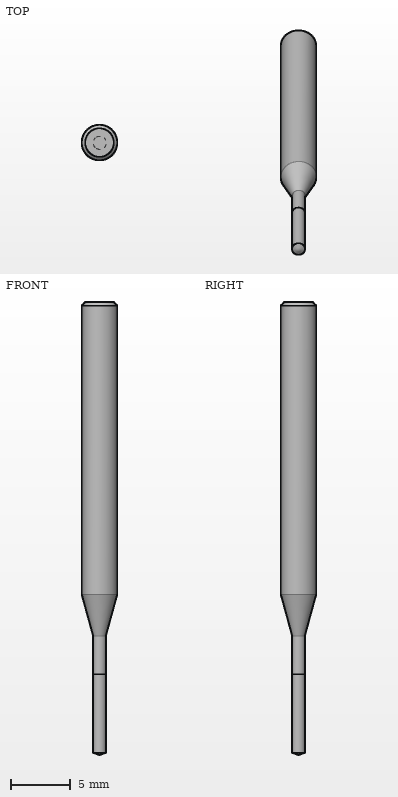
import cadquery as cq
import math

total_length = 38.0
shank_diameter = 3.0
tool_diameter = 1.1

cutter_top = 6.8
taper_bottom = 10.05
taper_top = 13.5

shank_chamfer = 0.3
tip_point_angle = 140.0

shank_radius = shank_diameter / 2
tool_radius = tool_diameter / 2
tip_height = tool_radius / math.tan(math.radians(tip_point_angle / 2))


def revolve_profile(points):
    """Turn a closed (radius, height) outline about the Z axis."""
    return cq.Workplane("XZ").polyline(points).close().revolve(360, (0, 0, 0), (0, 1, 0))


def make_shank():
    """Chamfered cylindrical shank tapering down to a slim neck."""
    return revolve_profile([
        (0, cutter_top),
        (tool_radius, cutter_top),
        (tool_radius, taper_bottom),
        (shank_radius, taper_top),
        (shank_radius, total_length - shank_chamfer),
        (shank_radius - shank_chamfer, total_length),
        (0, total_length),
    ])


def make_cutter():
    """Cylindrical cutting end with a conical drill point."""
    return revolve_profile([
        (0, 0),
        (tool_radius, tip_height),
        (tool_radius, cutter_top),
        (0, cutter_top),
    ])


shank = make_shank()
cutter = make_cutter()

result = cq.Compound.makeCompound([shank.val(), cutter.val()])